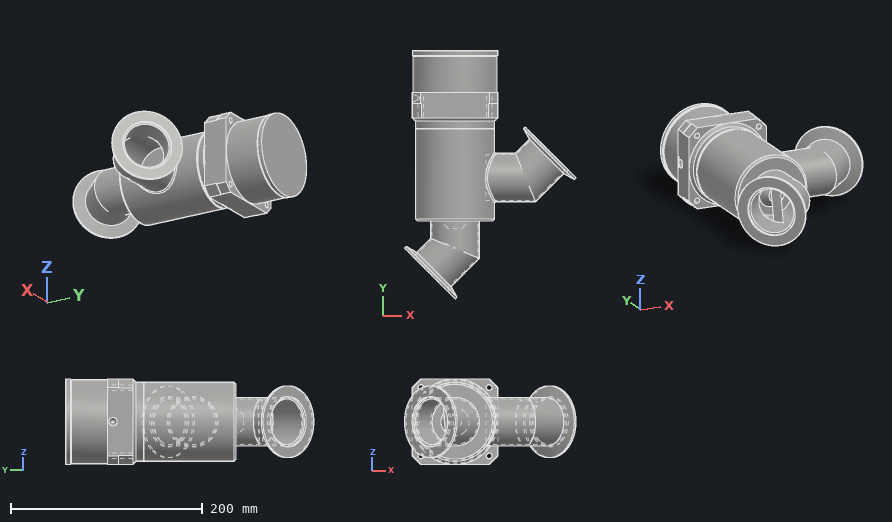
import cadquery as cq
import math


total_length = 258.7
total_width = 178.7

body_dia = 82.5
rim_dia = 89.2
rim_length = 5.2
cap_dia = 88.0
cap_groove_width = 0.8
cap_groove_dia = 86.5
cap_length = 43.5
collar_start = 70.0
collar_height = (rim_dia - body_dia) / 2
body_length = 177.7
end_chamfer = 2.3
body_groove_station = 81.0
body_groove_width = 0.8
body_groove_dia = 80.5

plate_side = 89.2
plate_split = 55.4
back_corner_chamfer = 8.8
front_corner_chamfer = 9.5
bolt_spacing = 71.1
bolt_dia = 5.7

port_dia = 8.8
port_tip_dia = 2.0
port_depth = 7.8

tube_dia = 50.7
bore_dia = 47.5
elbow_angle = math.radians(45)
outlet_length = 37.0
flange_dia = 75.0
flange_rim = 2.5
flange_cone = 3.4
recess_dia = 52.2
recess_depth = 2.5
outlet_reach = outlet_length * math.sin(elbow_angle) + flange_dia / 2 * math.cos(elbow_angle)
front_elbow_station = total_length - outlet_reach
branch_elbow_x = total_width - 2 * outlet_reach
branch_station = 132.2
branch_bore_start = 32.3
weld_size = 1.3

plug_dia = 29.2
plug_height = 7.8

strut_width = 9.8
strut_offset = -7.0
strut_tilt = -4.5
strut_thickness = 0.8


def cylinder(dia, start, end):
    """Cylinder along the body axis between two stations."""
    return cq.Workplane("XZ").workplane(offset=start).circle(dia / 2).extrude(end - start)


def ring_groove(outer_dia, floor_dia, start, width):
    """Ring to cut from a cylinder of the outer diameter, leaving the floor diameter."""
    return cylinder(outer_dia, start, start + width).cut(cylinder(floor_dia, start, start + width))


def corner_plate(start, end, corner_chamfer):
    """Square plate with chamfered corners between two stations."""
    plate = cq.Workplane("XZ").workplane(offset=start).rect(plate_side, plate_side).extrude(end - start)
    return plate.edges("|Y").chamfer(corner_chamfer)


def swept_rod(dia, start, elbow, outlet):
    """Round rod along the path start - elbow - outlet with a mitred corner."""
    first_leg = cq.Vector(elbow) - cq.Vector(start)
    path = cq.Workplane("XY").polyline([start, elbow, outlet])
    profile = cq.Workplane(cq.Plane(origin=start, xDir=(0, 0, 1), normal=first_leg.toTuple()))
    return profile.circle(dia / 2).sweep(path, transition="right")


def outlet_flange(outlet, direction):
    """Clamping flange whose flat face is at the outlet, facing along the direction."""
    profile = [
        (0, 0),
        (flange_dia / 2, 0),
        (flange_dia / 2, -flange_rim),
        (tube_dia / 2, -flange_rim - flange_cone),
        (0, -flange_rim - flange_cone),
    ]
    plane = cq.Plane(origin=outlet, xDir=(direction[1], -direction[0], 0), normal=(0, 0, 1))
    return cq.Workplane(plane).polyline(profile).close().revolve(360, (0, 0), (0, 1))


def outlet_recess(outlet, direction):
    """Shallow round recess sunk into the flange face."""
    plane = cq.Plane(origin=outlet, xDir=(0, 0, 1), normal=direction)
    return cq.Workplane(plane).circle(recess_dia / 2).extrude(-recess_depth)


def outlet_point(elbow, direction):
    """Centre of the flange face reached from an elbow."""
    return (elbow[0] + outlet_length * direction[0], elbow[1] + outlet_length * direction[1], 0)


body = cylinder(body_dia, 0, body_length).faces("<Y").chamfer(end_chamfer)
body = body.cut(ring_groove(body_dia, body_groove_dia, body_groove_station, body_groove_width))

outward = (math.cos(elbow_angle), math.sin(elbow_angle), 0)
inward = (-outward[0], -outward[1], 0)

branch_elbow = (branch_elbow_x, -branch_station, 0)
branch_outlet = outlet_point(branch_elbow, outward)
front_elbow = (0, -front_elbow_station, 0)
front_outlet = outlet_point(front_elbow, inward)

body = body.union(swept_rod(tube_dia, (0, -branch_station, 0), branch_elbow, branch_outlet))
weld_seam = cq.selectors.BoxSelector(
    (tube_dia / 2, -branch_station - tube_dia / 2, -tube_dia / 2),
    (body_dia / 2, -branch_station + tube_dia / 2, tube_dia / 2),
)
body = body.edges(weld_seam).chamfer(weld_size)

collar = cq.Workplane("XZ").workplane(offset=collar_start).circle(rim_dia / 2)
collar = collar.workplane(offset=collar_height).circle(body_dia / 2).loft()

body = body.union(cylinder(cap_dia, 0, cap_length)).union(cylinder(rim_dia, 0, rim_length)).union(collar)
body = body.cut(ring_groove(rim_dia, cap_groove_dia, rim_length, cap_groove_width))
body = body.union(corner_plate(cap_length, plate_split, back_corner_chamfer))
body = body.union(corner_plate(plate_split, collar_start, front_corner_chamfer))

bolts = cq.Workplane("XZ").workplane(offset=cap_length).rect(bolt_spacing, bolt_spacing, forConstruction=True)
body = body.cut(bolts.vertices().circle(bolt_dia / 2).extrude(collar_start - cap_length))

port_center = (-plate_side / 2, -(cap_length + plate_split) / 2, 0)
port_plane = cq.Plane(origin=port_center, xDir=(0, 1, 0), normal=(1, 0, 0))
port_cone = cq.Workplane(port_plane).circle(port_dia / 2)
port_cone = port_cone.workplane(offset=port_depth).circle(port_tip_dia / 2).loft()
body = body.cut(port_cone)

body = body.union(swept_rod(tube_dia, (0, -body_length, 0), front_elbow, front_outlet))
ports = [
    ((branch_bore_start, -branch_station, 0), branch_elbow, branch_outlet, outward),
    ((0, -body_length, 0), front_elbow, front_outlet, inward),
]
for start, elbow, outlet, direction in ports:
    body = body.union(outlet_flange(outlet, direction))
    body = body.cut(swept_rod(bore_dia, start, elbow, outlet))
    body = body.cut(outlet_recess(outlet, direction))

plug = cq.Workplane("XZ").workplane(offset=body_length).circle(plug_dia / 2)
plug = plug.workplane(offset=plug_height).circle(plug_dia / 2 - plug_height).loft()
body = body.union(plug)

mitre_normal = (math.sin(elbow_angle / 2), math.cos(elbow_angle / 2), 0)
mitre_x = (mitre_normal[1], -mitre_normal[0], 0)
mitre_plane = cq.Plane(origin=front_elbow, xDir=mitre_x, normal=mitre_normal)
strut = cq.Workplane(mitre_plane).center(strut_offset, 0).transformed(rotate=(0, 0, strut_tilt))
strut = strut.rect(strut_width, 2 * tube_dia).extrude(strut_thickness)
strut = strut.intersect(swept_rod(tube_dia, (0, -body_length, 0), front_elbow, front_outlet))

result = body.union(strut)